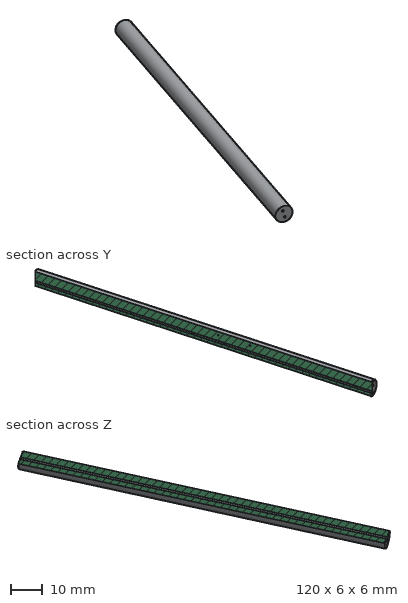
import cadquery as cq

rod_length = 120.0
rod_diameter = 6.0
end_chamfer = 0.3
hole_diameter = 0.6
hole_offset_y = 0.4
hole_offset_z = 1.2

end_plane = cq.Workplane("YZ", origin=(-rod_length / 2, 0, 0))
rod = end_plane.circle(rod_diameter / 2).extrude(rod_length)
rod = rod.faces("<X").chamfer(end_chamfer)

hole_centres = [(-hole_offset_y, hole_offset_z), (hole_offset_y, -hole_offset_z)]
holes = end_plane.pushPoints(hole_centres).circle(hole_diameter / 2).extrude(rod_length)

result = rod.cut(holes)